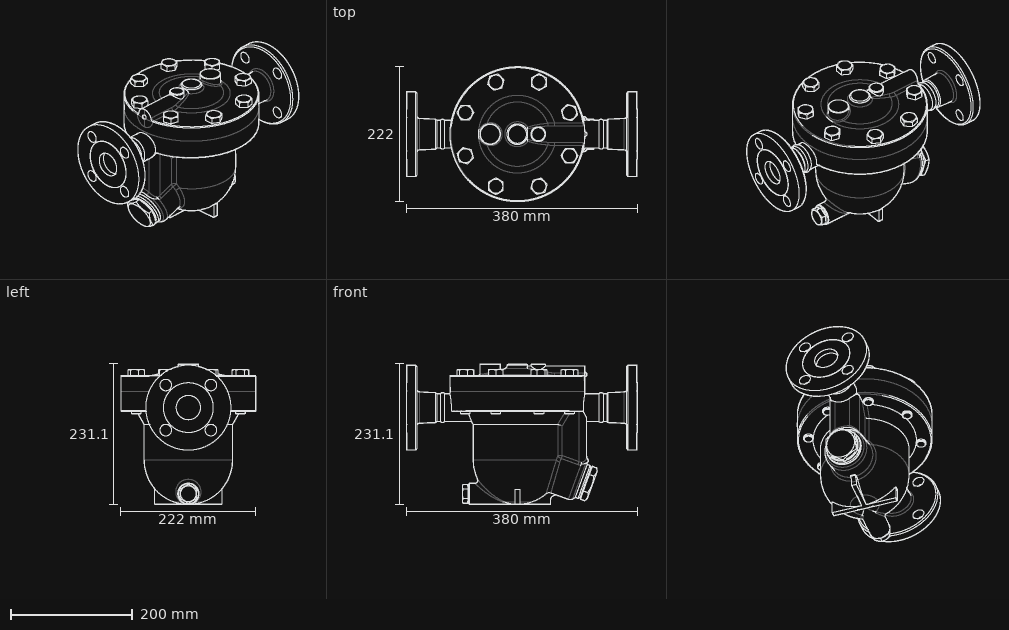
import cadquery as cq
import math


shell_radius = 73.0
shell_top_z = 131.6
neck_top_radius = 85.0
flange_radius = 111.0
flange_bottom_z = 152.7
flange_bottom_round = 2.0
split_z = 185.6

cover_top_z = 212.2
cover_edge_round = 1.5
dome_foot_radius = 64.0
dome_cone_radius = 53.0
dome_angle = math.radians(16.5)
boss_top_z = 231.1
cover_boss_diameter = 34.0
center_boss_fillet = 5.0
center_boss_chamfer = 2.0
side_boss_x = -44.8
side_boss_fillet = 2.2
side_boss_chamfer = 0.8
small_boss_diameter = 24.0
small_boss_x = 34.3
small_boss_chamfer = 1.2

ridge_radius = 14.0
ridge_axis_z = 213.8
ridge_fillet = 5.0
ridge_overrun = 20.0
nub_radius = 3.7
nub_offset = 0.2

bolt_count = 8
bolt_circle_radius = 92.7
bolt_first_angle = 22.5
bolt_head_flats = 24.0
bolt_head_height = 10.0
bolt_shank_diameter = 16.0
bolt_end_z = 148.8
bolt_end_chamfer = 1.0

overall_length = 380.0
pipe_mid_x = 7.3
pipe_axis_z = 159.25
pipe_radius = 45.9 / 2
weld_ring_radius = 49.5 / 2
weld_ring_center = 130.4
weld_ring_half_width = 3.5
hub_start = 139.8
hub_cone_start = 141.8
hub_cone_start_radius = 24.9
hub_cone_end = 168.2
hub_cone_end_radius = 26.1
hub_foot_radius = 58.0 / 2
hub_round_middle = (171.1, 27.0)
pipe_flange_back = 172.3
pipe_flange_radius = 140.0 / 2
pipe_flange_chamfer = 2.5
raised_face_radius = 82.0 / 2
raised_face_height = 0.7
flange_hole_count = 4
flange_hole_diameter = 19.0
flange_hole_circle = 105.0
bore_diameter = 40.0
bore_depth = 10.0

column_half_width = 25.5
column_end_x = 114.0
column_corner_radius = 12.8
column_bottom_z = 50.0
column_slope_top_x = 108.5
column_slope_bottom_z = 142.0
port_tilt = 20.0
port_start_x = 96.0
port_start_z = 42.0
port_radius = 36.0
port_inner_length = 80.0
port_outer_length = 40.0
shoulder_round_length = 6.6
shoulder_round_end_radius = 33.2
shoulder_bulge_radius = 35.3
port_shoulder_length = 9.6
port_shoulder_end_radius = 29.5
shoulder_clearance = 0.5
gasket_diameter = 58.0
gasket_length = 7.4
gasket_chamfer = 2.5
groove_diameter = 50.0
groove_width = 1.5
port_cap_flats = 50.0
port_cap_height = 10.5
side_blend = 8.0

drain_diameter = 35.0
drain_end_x = -79.8
drain_rim_chamfer = 1.0
drain_blend = 4.5
drain_blend_low_z = 4.0
drain_neck_diameter = 24.0
drain_neck_length = 1.5
drain_plug_flats = 27.0
drain_plug_height = 9.4

foot_thickness = 8.0
foot_edge_chamfer = 1.0
cross_foot_half_length = 55.7
cross_foot_height = 24.5
side_foot_end_x = 54.7
side_foot_height = 30.0
foot_notch_radius = 7.0
foot_notch_z = 7.5

hex_top_ratio = 0.96
hex_turn_angle = math.radians(30.0)

edge_tolerance = 0.1


def disc(diameter, z_low, z_high):
    return cq.Workplane("XY").workplane(offset=z_low).circle(diameter / 2).extrude(z_high - z_low)


def revolved(profile):
    """Turn a closed XZ profile about the Z axis."""
    return profile.close().revolve(360, (0, 0), (0, 1))


def blended(shape, radius, wanted):
    """Fillet the edges whose bounding box (and curve type) pass the test `wanted`."""
    edges = [edge for edge in shape.edges().vals() if wanted(edge.BoundingBox(), edge.geomType())]
    return cq.Workplane("XY").newObject([shape.val().fillet(radius, edges)])


def hex_head(flats, height):
    """Hexagon standing on Z = 0 with a corner on +X and its top corners turned off."""
    corner_radius = flats / math.sqrt(3)
    top_radius = hex_top_ratio * flats / 2
    drop = (corner_radius - top_radius) * math.tan(hex_turn_angle)
    blank = revolved(
        cq.Workplane("XZ")
        .lineTo(corner_radius, 0)
        .lineTo(corner_radius, height - drop)
        .lineTo(top_radius, height)
        .lineTo(0, height)
    )
    return cq.Workplane("XY").polygon(6, 2 * corner_radius).extrude(height).intersect(blank)


def make_shell():
    """Round-bottomed shell with its flared neck."""
    diagonal = shell_radius * math.sin(math.pi / 4)
    return revolved(
        cq.Workplane("XZ")
        .threePointArc((diagonal, shell_radius - diagonal), (shell_radius, shell_radius))
        .lineTo(shell_radius, shell_top_z)
        .lineTo(neck_top_radius, flange_bottom_z)
        .lineTo(0, flange_bottom_z)
    )


def make_body_flange():
    return disc(2 * flange_radius, flange_bottom_z, split_z).faces("<Z").edges().fillet(flange_bottom_round)


def along_port(shape):
    """Move a shape built up the Z axis so that it points out along the port axis."""
    return (
        shape.rotate((0, 0, 0), (0, 1, 0), 90 + port_tilt)
        .translate((port_start_x, 0, port_start_z))
    )


def make_column():
    """Upright passage on the +X side, sloped under the flange and landing on the port."""
    column = (
        cq.Workplane("XY")
        .workplane(offset=column_bottom_z)
        .center(column_end_x / 2, 0)
        .rect(column_end_x, 2 * column_half_width)
        .extrude(flange_bottom_z - column_bottom_z)
        .edges("|Z and >X")
        .fillet(column_corner_radius)
    )
    slope = (
        cq.Workplane("XZ")
        .workplane(offset=-column_half_width)
        .moveTo(column_slope_top_x, flange_bottom_z)
        .lineTo(column_end_x, column_slope_bottom_z)
        .lineTo(column_end_x, flange_bottom_z)
        .close()
        .extrude(2 * column_half_width)
    )
    return column.cut(slope)


def make_port():
    """Plain barrel, long enough for the whole column to land on it."""
    return along_port(disc(2 * port_radius, -port_inner_length, port_outer_length))


def make_shoulder_cutter():
    """Everything beyond the port's end face, and the ring outside its rounded shoulder."""
    outer = port_radius + shoulder_clearance
    ring = revolved(
        cq.Workplane("XZ")
        .moveTo(port_radius, 0)
        .threePointArc(
            (shoulder_bulge_radius, shoulder_round_length / 2),
            (shoulder_round_end_radius, shoulder_round_length),
        )
        .lineTo(port_shoulder_end_radius, port_shoulder_length)
        .lineTo(outer, port_shoulder_length)
        .lineTo(outer, 0)
    )
    beyond = disc(4 * port_radius, port_shoulder_length, 2 * port_outer_length)
    return along_port(ring.union(beyond))


def make_port_cap():
    gasket_end = port_shoulder_length + gasket_length
    groove_end = gasket_end + groove_width
    gasket = disc(gasket_diameter, 0, gasket_end).faces(">Z").edges().chamfer(gasket_chamfer)
    groove = disc(groove_diameter, 0, groove_end)
    cap = hex_head(port_cap_flats, port_cap_height).translate((0, 0, groove_end))
    return along_port(gasket.union(groove).union(cap))


def make_side_passage():
    """Shell, column and port, blended together where they meet."""

    def at_seams(box, kind):
        at_wall = shell_radius - side_blend < box.xmin < shell_radius and box.xmax < column_end_x
        on_port = column_bottom_z < box.zmin and box.zmax < column_slope_bottom_z
        column_to_wall = kind in ("LINE", "HYPERBOLA") and at_wall
        port_to_shell = kind == "BSPLINE" and box.xmax < shell_radius
        port_to_column = kind in ("BSPLINE", "ELLIPSE") and box.xmin > neck_top_radius and on_port
        return column_to_wall or port_to_shell or port_to_column

    joined = make_shell().union(make_column()).union(make_port())
    return blended(joined, side_blend, at_seams).cut(make_shoulder_cutter())


def make_drain():
    """Drain pipe at the bottom, blended into the shell above its tangent underside."""
    pipe = (
        cq.Workplane("YZ")
        .workplane(offset=drain_end_x)
        .center(0, drain_diameter / 2)
        .circle(drain_diameter / 2)
        .extrude(-drain_end_x)
    )
    pipe = pipe.faces("<X").edges().chamfer(drain_rim_chamfer)

    def at_seam(box, kind):
        return kind == "BSPLINE" and -shell_radius < box.xmin < -drain_diameter

    upper = make_shell().union(pipe).cut(disc(4 * shell_radius, 0, drain_blend_low_z))
    return blended(upper, drain_blend, at_seam).union(pipe)


def make_drain_plug():
    neck = disc(drain_neck_diameter, -drain_neck_length, drain_neck_length)
    plug = hex_head(drain_plug_flats, drain_plug_height).translate((0, 0, drain_neck_length))
    return (
        neck.union(plug)
        .rotate((0, 0, 0), (0, 1, 0), -90)
        .translate((drain_end_x, 0, drain_diameter / 2))
    )


def make_feet():
    """A cross foot along Y and a side foot towards +X, notched below the port."""
    cross = (
        cq.Workplane("XY")
        .rect(foot_thickness, 2 * cross_foot_half_length)
        .extrude(cross_foot_height)
        .edges("|X and <Z")
        .chamfer(foot_edge_chamfer)
    )
    notch_end_x = side_foot_end_x + foot_notch_radius
    side = (
        cq.Workplane("XZ")
        .workplane(offset=-foot_thickness / 2)
        .lineTo(side_foot_end_x, 0)
        .lineTo(side_foot_end_x, foot_notch_z)
        .radiusArc((notch_end_x, foot_notch_z + foot_notch_radius), foot_notch_radius)
        .lineTo(notch_end_x, side_foot_height)
        .lineTo(0, side_foot_height)
        .close()
        .extrude(foot_thickness)
    )
    return cross.union(side)


def make_cover_disc():
    """Cover plate whose flat top rises through a concave round into a shallow cone."""
    round_half_width = (dome_foot_radius - dome_cone_radius) / 2
    arc_radius = round_half_width / math.tan(dome_angle / 2)
    arc_middle = (
        dome_foot_radius - arc_radius * math.sin(dome_angle / 2),
        cover_top_z + arc_radius * (1 - math.cos(dome_angle / 2)),
    )
    cone_start_z = cover_top_z + round_half_width * math.tan(dome_angle)
    apex_z = cone_start_z + dome_cone_radius * math.tan(dome_angle)
    return revolved(
        cq.Workplane("XZ")
        .moveTo(0, split_z)
        .lineTo(flange_radius, split_z)
        .lineTo(flange_radius, cover_top_z - cover_edge_round)
        .radiusArc((flange_radius - cover_edge_round, cover_top_z), -cover_edge_round)
        .lineTo(dome_foot_radius, cover_top_z)
        .threePointArc(arc_middle, (dome_cone_radius, cone_start_z))
        .lineTo(0, apex_z)
    )


def with_boss(cover, x, foot_fillet, top_chamfer):
    """Cover with a round boss at (x, 0), filleted at its foot and chamfered at its top."""
    boss = disc(cover_boss_diameter, split_z, boss_top_z).faces(">Z").edges().chamfer(top_chamfer)
    reach = cover_boss_diameter / 2 + edge_tolerance

    def at_foot(box, kind):
        near_boss = x - reach < box.xmin and box.xmax < x + reach
        below_chamfer = cover_top_z < box.zmin and box.zmax < boss_top_z - top_chamfer - edge_tolerance
        return near_boss and below_chamfer and box.ymax - box.ymin > 1

    return blended(cover.union(boss.translate((x, 0, 0))), foot_fillet, at_foot)


def with_ridge(cover):
    """Cover with the half-round ridge, filleted along its sides and trimmed to the rim."""
    ridge = (
        cq.Workplane("YZ")
        .center(0, ridge_axis_z)
        .circle(ridge_radius)
        .extrude(flange_radius + ridge_overrun)
    )

    def at_sides(box, kind):
        on_one_side = box.ymin * box.ymax > 1
        on_top = box.zmin > cover_top_z - edge_tolerance and box.xmax < flange_radius
        return on_one_side and on_top and box.xmax - box.xmin > ridge_fillet

    filleted = blended(cover.union(ridge), ridge_fillet, at_sides)
    return filleted.intersect(disc(2 * flange_radius, split_z, boss_top_z))


def make_cover():
    plain = make_cover_disc()
    cover = with_boss(plain, 0, center_boss_fillet, center_boss_chamfer)
    cover = cover.union(with_boss(plain, side_boss_x, side_boss_fillet, side_boss_chamfer))
    cover = cover.union(with_ridge(plain))
    small_boss = disc(small_boss_diameter, ridge_axis_z, boss_top_z)
    small_boss = small_boss.faces(">Z").edges().chamfer(small_boss_chamfer)
    nub = cq.Workplane("XY").sphere(nub_radius).translate((flange_radius - nub_offset, 0, ridge_axis_z))
    return cover.union(small_boss.translate((small_boss_x, 0, 0))).union(nub)


def make_bolts():
    """Ring of hexagon bolts; each head is turned by the same amount relative to its own radius."""
    head = hex_head(bolt_head_flats, bolt_head_height).rotate((0, 0, 0), (0, 0, 1), bolt_first_angle)
    shank = disc(bolt_shank_diameter, bolt_end_z, cover_top_z).faces("<Z").edges().chamfer(bolt_end_chamfer)
    bolt = shank.union(head.translate((0, 0, cover_top_z))).translate((bolt_circle_radius, 0, 0))
    return [
        bolt.rotate((0, 0, 0), (0, 0, 1), bolt_first_angle + index * 360 / bolt_count)
        for index in range(bolt_count)
    ]


def make_pipe_end():
    """Half of the pipe run along +X: weld ring, tapered hub and blind-bored flange."""
    face = overall_length / 2
    rim_front = face - raised_face_height
    end = (
        cq.Workplane("XY")
        .lineTo(0, pipe_radius)
        .lineTo(weld_ring_center - weld_ring_half_width, pipe_radius)
        .threePointArc(
            (weld_ring_center, weld_ring_radius),
            (weld_ring_center + weld_ring_half_width, pipe_radius),
        )
        .lineTo(hub_start, pipe_radius)
        .lineTo(hub_cone_start, hub_cone_start_radius)
        .lineTo(hub_cone_end, hub_cone_end_radius)
        .threePointArc(hub_round_middle, (pipe_flange_back, hub_foot_radius))
        .lineTo(pipe_flange_back, pipe_flange_radius - pipe_flange_chamfer)
        .lineTo(pipe_flange_back + pipe_flange_chamfer, pipe_flange_radius)
        .lineTo(rim_front, pipe_flange_radius)
        .lineTo(rim_front, raised_face_radius)
        .lineTo(face, raised_face_radius)
        .lineTo(face, 0)
        .close()
        .revolve(360, (0, 0, 0), (1, 0, 0))
    )
    holes = (
        cq.Workplane("YZ")
        .workplane(offset=pipe_flange_back)
        .polarArray(flange_hole_circle / 2, 180 / flange_hole_count, 360, flange_hole_count)
        .circle(flange_hole_diameter / 2)
        .extrude(face - pipe_flange_back)
    )
    bore = (
        cq.Workplane("YZ")
        .workplane(offset=face - bore_depth)
        .circle(bore_diameter / 2)
        .extrude(bore_depth)
    )
    return end.cut(holes).cut(bore)


def make_pipe_run():
    end = make_pipe_end()
    return end.union(end.mirror("YZ")).translate((pipe_mid_x, 0, pipe_axis_z))


parts = [
    make_drain(),
    make_body_flange(),
    make_pipe_run(),
    make_port_cap(),
    make_drain_plug(),
    make_feet(),
    make_cover(),
]
result = make_side_passage()
for part in parts + make_bolts():
    result = result.union(part, clean=False)